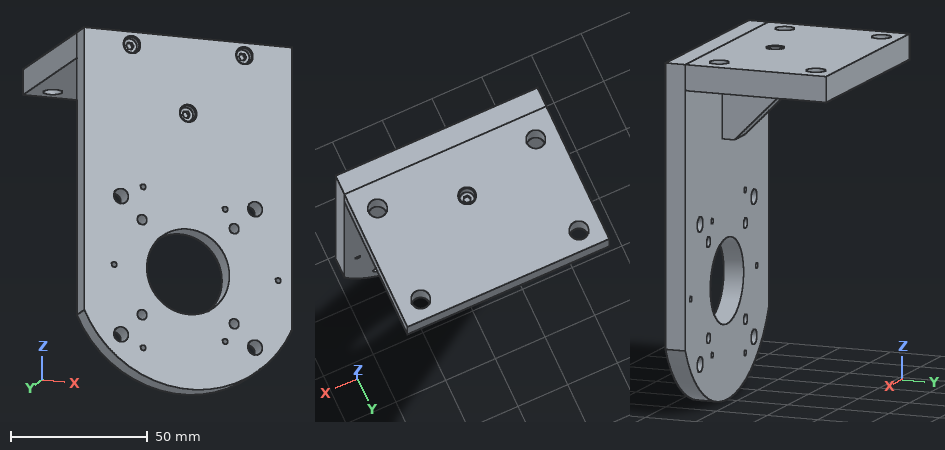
import cadquery as cq
import math


plate_width = 81.2
total_height = 133.4
total_depth = 63.5
face_thickness = 7.9
nose_radius = 44.5
bore_diameter = 32.3
top_z = total_height - nose_radius

large_hole_diameter = 5.6
large_hole_spacing = 52.4
medium_hole_diameter = 3.7
medium_hole_spacing = 36.0
small_hole_diameter = 2.0
inner_ring_radius = 29.0
outer_ring_radius = 35.2

top_thickness = 9.7
top_depth = total_depth - face_thickness
mount_hole_diameter = 7.1
mount_side_margin = 8.8
mount_back_margin = 7.6
mount_pitch_y = 38.2

gusset_size = 25.1
gusset_thickness = top_thickness
gusset_end = 5.0
gusset_relief = 2.4
gusset_hole_offset = 19.1

head_diameter = 5.5
head_height = 3.1
head_rounding = 0.3
socket_flats = 2.5
socket_depth = 1.6
shank_diameter = 3.0
shank_length = 9.5
counterbore_diameter = 5.9
counterbore_chamfer = 0.4
face_counterbore_depth = 5.1
top_counterbore_depth = 7.5
edge_screw_spacing = 44.0

face_seat_y = face_counterbore_depth
top_seat_z = top_z - top_counterbore_depth
edge_screw_z = top_z - top_thickness / 2
gusset_screw_z = top_z - top_thickness - gusset_hole_offset
gusset_screw_y = face_thickness + gusset_hole_offset


def seat_plane(origin, outward):
    return cq.Plane(origin=origin, xDir=(1, 0, 0), normal=outward)


edge_seats = [
    seat_plane((side * edge_screw_spacing / 2, face_seat_y, edge_screw_z), (0, -1, 0))
    for side in (-1, 1)
]
gusset_face_seat = seat_plane((0, face_seat_y, gusset_screw_z), (0, -1, 0))
gusset_top_seat = seat_plane((0, gusset_screw_y, top_seat_z), (0, 0, 1))


def make_screw(seat):
    head = cq.Workplane(seat).circle(head_diameter / 2).extrude(head_height)
    head = head.faces(cq.DirectionMinMaxSelector(seat.zDir, True)).edges().fillet(head_rounding)
    socket = (
        cq.Workplane(seat)
        .workplane(offset=head_height - socket_depth)
        .polygon(6, socket_flats / math.cos(math.pi / 6))
        .extrude(socket_depth)
    )
    shank = cq.Workplane(seat).circle(shank_diameter / 2).extrude(-shank_length)
    return head.cut(socket).union(shank)


def shank_hole(seat):
    return cq.Workplane(seat).circle(shank_diameter / 2).extrude(-shank_length)


def counterbored_hole(seat, counterbore_depth):
    counterbore = cq.Workplane(seat).circle(counterbore_diameter / 2).extrude(counterbore_depth)
    rim = (
        cq.Workplane(seat)
        .workplane(offset=counterbore_depth)
        .circle(counterbore_diameter / 2 + counterbore_chamfer)
        .extrude(-counterbore_chamfer, taper=45)
    )
    return counterbore.union(rim).union(shank_hole(seat))


def ring_points(radius, first_angle):
    angles = [math.radians(first_angle + step) for step in (0, 120, 240)]
    return [(radius * math.cos(angle), radius * math.sin(angle)) for angle in angles]


def square_points(side):
    return [(x * side / 2, z * side / 2) for x in (-1, 1) for z in (-1, 1)]


def make_face_plate():
    half_width = plate_width / 2
    shoulder_z = -math.sqrt(nose_radius**2 - half_width**2)
    plate = (
        cq.Workplane("XZ")
        .moveTo(-half_width, top_z)
        .lineTo(half_width, top_z)
        .lineTo(half_width, shoulder_z)
        .threePointArc((0, -nose_radius), (-half_width, shoulder_z))
        .close()
        .extrude(-face_thickness)
    )
    hole_groups = [
        ([(0, 0)], bore_diameter),
        (square_points(large_hole_spacing), large_hole_diameter),
        (square_points(medium_hole_spacing), medium_hole_diameter),
        (ring_points(inner_ring_radius, 60), small_hole_diameter),
        (ring_points(outer_ring_radius, 0), small_hole_diameter),
    ]
    for points, diameter in hole_groups:
        holes = cq.Workplane("XZ").pushPoints(points).circle(diameter / 2).extrude(-face_thickness)
        plate = plate.cut(holes)
    for seat in edge_seats + [gusset_face_seat]:
        plate = plate.cut(counterbored_hole(seat, face_counterbore_depth))
    return plate


def make_top_plate():
    plate = (
        cq.Workplane("XY", origin=(0, face_thickness + top_depth / 2, top_z))
        .rect(plate_width, top_depth)
        .extrude(-top_thickness)
    )
    mount_centre_y = total_depth - mount_back_margin - mount_pitch_y / 2
    mount_holes = (
        cq.Workplane("XY", origin=(0, mount_centre_y, top_z))
        .rect(plate_width - 2 * mount_side_margin, mount_pitch_y, forConstruction=True)
        .vertices()
        .circle(mount_hole_diameter / 2)
        .extrude(-top_thickness)
    )
    plate = plate.cut(mount_holes)
    plate = plate.cut(counterbored_hole(gusset_top_seat, top_counterbore_depth))
    for seat in edge_seats:
        plate = plate.cut(shank_hole(seat))
    return plate


def make_gusset():
    profile = [
        (gusset_relief, 0),
        (gusset_size, 0),
        (gusset_size, -gusset_end),
        (gusset_end, -gusset_size),
        (0, -gusset_size),
        (0, -gusset_relief),
    ]
    gusset = (
        cq.Workplane("YZ", origin=(0, face_thickness, top_z - top_thickness))
        .polyline(profile)
        .close()
        .extrude(gusset_thickness / 2, both=True)
    )
    for seat in (gusset_face_seat, gusset_top_seat):
        gusset = gusset.cut(shank_hole(seat))
    return gusset


face_plate = make_face_plate()
top_plate = make_top_plate()
gusset = make_gusset()
screws = [make_screw(seat) for seat in edge_seats + [gusset_face_seat, gusset_top_seat]]

result = cq.Compound.makeCompound(
    [face_plate.val(), top_plate.val(), gusset.val(), *[screw.val() for screw in screws]]
)